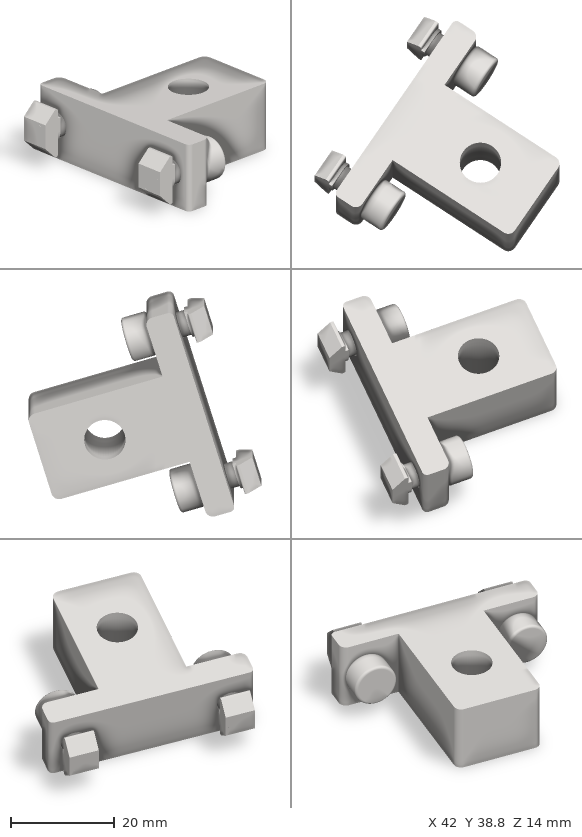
import cadquery as cq

plate_width = 42.0
plate_thickness = 5.63
bracket_height = 14.0
bracket_depth = 33.0
stem_width = 18.0
back_corner_radius = 1.5
front_corner_radius = 1.0
stem_hole_diameter = 8.0
stem_hole_to_tip = 13.0
clearance_diameter = 5.5

screw_spacing = 32.0
shank_diameter = 5.0
head_diameter = 8.75
head_height = 5.05
head_edge_radius = 0.55

nut_width = 6.0
nut_height = 10.0
nut_thickness = 3.3
nut_front_height = 5.0
nut_lip_thickness = 0.7
nut_edge_radius = 0.3
collar_thickness = 0.7
nut_reach = 5.8
nut_front_y = -nut_reach
nut_back_y = nut_front_y + nut_thickness

screw_positions = [-screw_spacing / 2, screw_spacing / 2]


def cylinder_along_y(x, diameter, start_y, end_y):
    """Cylinder at height Z = 0 that runs from start_y towards +Y."""
    return (
        cq.Workplane("XZ", origin=(x, start_y, 0))
        .circle(diameter / 2)
        .extrude(start_y - end_y)
    )


def make_bracket():
    plate = (
        cq.Workplane("XY")
        .box(plate_width, plate_thickness, bracket_height, centered=(True, False, True))
    )
    plate = plate.edges("|Z and >Y").fillet(back_corner_radius)
    plate = plate.edges("|Z and <Y").fillet(front_corner_radius)

    stem = (
        cq.Workplane("XY")
        .box(stem_width, bracket_depth, bracket_height, centered=(True, False, True))
        .edges("|Z and >Y").fillet(back_corner_radius)
    )
    stem_hole = (
        cq.Workplane("XY")
        .center(0, bracket_depth - stem_hole_to_tip)
        .circle(stem_hole_diameter / 2)
        .extrude(bracket_height, both=True)
    )
    bracket = plate.union(stem).cut(stem_hole)
    for x in screw_positions:
        bracket = bracket.cut(cylinder_along_y(x, clearance_diameter, 0, plate_thickness))
    return bracket


def make_screw(x):
    """Screw whose head rests on the plate back and whose tip is flush with the nut front."""
    head_top_y = plate_thickness + head_height
    head = cylinder_along_y(x, head_diameter, plate_thickness, head_top_y)
    head = head.edges("%CIRCLE").fillet(head_edge_radius)
    shank = cylinder_along_y(x, shank_diameter, nut_front_y, plate_thickness)
    return head.union(shank)


def make_nut(x):
    """Wedge-shaped nut with a collar that has two opposite round corners."""
    half_height = nut_height / 2
    half_front = nut_front_height / 2
    lip_y = nut_back_y - nut_lip_thickness
    wedge = (
        cq.Workplane("YZ", origin=(x, 0, 0))
        .polyline([
            (nut_back_y, -half_height),
            (nut_back_y, half_height),
            (lip_y, half_height),
            (nut_front_y, half_front),
            (nut_front_y, -half_front),
            (lip_y, -half_height),
        ])
        .close()
        .extrude(nut_width / 2, both=True)
    )
    wedge = wedge.faces(">Y").edges("|X").fillet(nut_edge_radius)

    collar_back_y = nut_back_y + collar_thickness
    collar = cylinder_along_y(x, nut_width, nut_back_y, collar_back_y)
    quadrant = nut_width / 2
    for side in (-1, 1):
        corner = (
            cq.Workplane("XY")
            .box(quadrant, collar_thickness, quadrant, centered=(True, False, True))
            .translate((x + side * quadrant / 2, nut_back_y, side * quadrant / 2))
        )
        collar = collar.union(corner)

    bore = cylinder_along_y(x, shank_diameter, nut_front_y, collar_back_y)
    return wedge.union(collar).cut(bore)


bracket = make_bracket()
screws = [make_screw(x).val() for x in screw_positions]
nuts = [make_nut(x).val() for x in screw_positions]

result = cq.Compound.makeCompound([bracket.val(), *screws, *nuts])